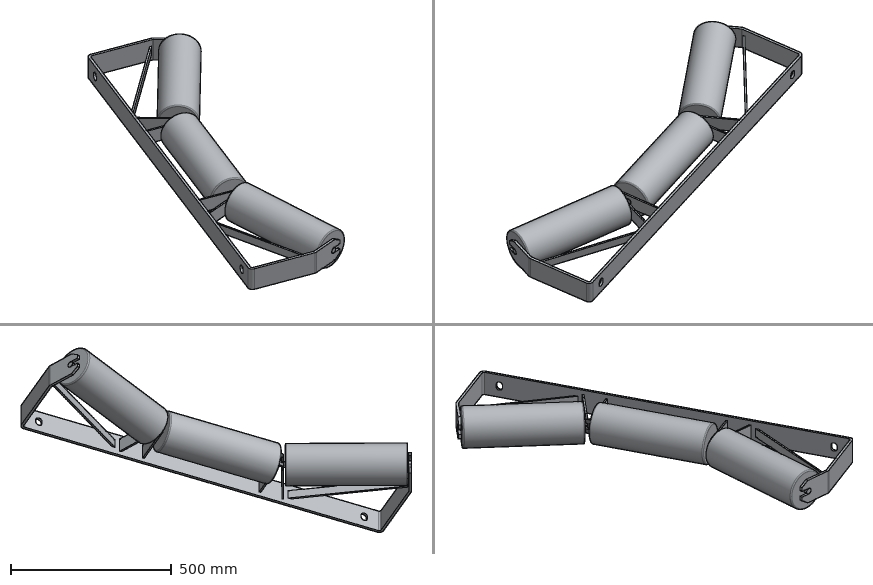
import cadquery as cq
import math


frame_half_length = 620.0
strip_width = 79.0
strip_thickness = 9.0
bend_radius = 15.0
bend_height = 225.0
arm_length = 115.0
arm_corner_cut = (25.0, 16.0)

mount_x = 557.0
mount_slot_length = 29.0
mount_slot_width = 21.0

trough_angle = 25.0
roller_diameter = 133.0
roller_length = 381.0
roller_edge_radius = 4.0
shaft_diameter = 19.0
slot_width = 20.0
middle_roller_center = (0.0, 125.0)
side_roller_center = (400.0, 217.0)

bracket_thickness = 5.6
bracket_width = 50.0
bracket_bend_radius = 7.0
bracket_top = 155.0
roller_to_bracket = 6.0

strut_thickness = 6.0
strut_width = 30.0
strut_angle = 33.6
strut_foot_x = 301.0

sin_trough = math.sin(math.radians(trough_angle))
cos_trough = math.cos(math.radians(trough_angle))
leg_offset = roller_length / 2 + roller_to_bracket
shaft_length = 2 * (leg_offset + bracket_thickness)


def extrude_across(outline, width):
    """Extrude a closed outline in XY evenly to both sides of Z = 0."""
    return outline.close().extrude(width).translate((0, 0, -width / 2))


def edge_at(x, y):
    """Selector for the edge that runs along Z through an XY point."""
    reach = 0.6
    return cq.selectors.BoxSelector((x - reach, y - reach, -reach), (x + reach, y + reach, reach))


def mirrored(body):
    """The same body on the -X side."""
    return body.mirror("YZ")


def place_on_side_axis(body):
    """Move a body from the X axis onto the axis of the +X side roller."""
    turned = body.rotate((0, 0, 0), (0, 0, 1), trough_angle)
    return turned.translate((*side_roller_center, 0))


def shaft_slot(start_x, length, height):
    """Round-bottomed cutter about the X axis that reaches a height upward (+Y)."""
    plane = cq.Workplane("YZ", origin=(start_x, 0, 0))
    bottom = plane.circle(slot_width / 2).extrude(length)
    channel = plane.rect(height, slot_width).extrude(length).translate((0, height / 2, 0))
    return bottom.union(channel)


def centered_cylinder(diameter, length):
    """Cylinder along X, centred on the origin."""
    return cq.Workplane("YZ", origin=(-length / 2, 0, 0)).circle(diameter / 2).extrude(length)


def make_roller():
    """Roller with its shaft, centred on the origin along X."""
    shell = centered_cylinder(roller_diameter, roller_length)
    shell = shell.edges("%CIRCLE").fillet(roller_edge_radius)
    shaft = centered_cylinder(shaft_diameter, shaft_length)
    return shell.union(shaft)


def make_frame():
    """Base, two walls and two inclined arms bent from one strip."""
    arm_run = arm_length * sin_trough
    arm_rise = arm_length * cos_trough
    half_bend = math.tan(math.radians(trough_angle / 2))
    inner_x = frame_half_length - strip_thickness
    inner_bend = bend_height - strip_thickness * half_bend
    tip_x = frame_half_length - arm_run
    tip_y = bend_height + arm_rise
    inner_tip = (tip_x - strip_thickness * cos_trough, tip_y - strip_thickness * sin_trough)

    right_side = [
        (frame_half_length, 0),
        (frame_half_length, bend_height),
        (tip_x, tip_y),
        inner_tip,
        (inner_x, inner_bend),
        (inner_x, strip_thickness),
    ]
    left_side = [(-x, y) for x, y in reversed(right_side)]
    frame = extrude_across(cq.Workplane("XY").polyline(right_side + left_side), strip_width)

    inner_radius = bend_radius - strip_thickness
    bends = [
        (frame_half_length, 0, bend_radius),
        (frame_half_length, bend_height, bend_radius),
        (inner_x, strip_thickness, inner_radius),
        (inner_x, inner_bend, inner_radius),
    ]
    for x, y, radius in bends:
        frame = frame.edges(edge_at(x, y) + edge_at(-x, y)).fillet(radius)

    arm_cutter = make_arm_cutter()
    frame = frame.cut(arm_cutter).cut(mirrored(arm_cutter))

    mounts = (
        cq.Workplane("XZ")
        .pushPoints([(-mount_x, 0), (mount_x, 0)])
        .slot2D(mount_slot_length, mount_slot_width, 90)
        .extrude(-strip_thickness)
    )
    return frame.cut(mounts)


def make_arm_cutter():
    """Corner cuts and shaft slot of the +X arm."""
    bend_x = frame_half_length - side_roller_center[0]
    bend_y = bend_height - side_roller_center[1]
    outer_face = bend_x * cos_trough + bend_y * sin_trough
    tip_rise = arm_length - bend_x * sin_trough + bend_y * cos_trough
    cut_along, cut_across = arm_corner_cut

    start = outer_face - 2 * strip_thickness
    depth = 3 * strip_thickness
    cutter = shaft_slot(start, depth, 2 * tip_rise)
    for side in (-1, 1):
        edge = side * strip_width / 2
        triangle = [
            (tip_rise, edge),
            (tip_rise - cut_along, edge),
            (tip_rise, edge - side * cut_across),
        ]
        corner = cq.Workplane("YZ", origin=(start, 0, 0)).polyline(triangle).close().extrude(depth)
        cutter = cutter.union(corner)
    return place_on_side_axis(cutter)


def make_bracket():
    """Folded +X bracket between the middle and side rollers."""
    slope_tan = sin_trough / cos_trough

    def leg_x(offset, y):
        """X of the sloping leg's face that lies an offset from the side roller's middle."""
        axis_x = side_roller_center[0] - offset * cos_trough
        axis_y = side_roller_center[1] - offset * sin_trough
        return axis_x + (axis_y - y) * slope_tan

    base = strip_thickness
    under = bracket_top - bracket_thickness
    near = leg_offset
    far = leg_offset + bracket_thickness
    points = [
        (near, base),
        (near, bracket_top),
        (leg_x(near, bracket_top), bracket_top),
        (leg_x(near, base), base),
        (leg_x(far, base), base),
        (leg_x(far, under), under),
        (far, under),
        (far, base),
    ]
    bracket = extrude_across(cq.Workplane("XY").polyline(points), bracket_width)
    for x, y in points[1:3]:
        bracket = bracket.edges(edge_at(x, y)).fillet(bracket_bend_radius)
    for x, y in points[5:7]:
        bracket = bracket.edges(edge_at(x, y)).fillet(bracket_bend_radius - bracket_thickness)

    upright_slot = shaft_slot(near, bracket_thickness, bracket_top)
    upright_slot = upright_slot.translate((*middle_roller_center, 0))
    leg_slot = place_on_side_axis(shaft_slot(-far, bracket_thickness, bracket_top))
    return bracket.cut(upright_slot).cut(leg_slot)


def make_strut():
    """Flat +X strut from the base to the wall."""
    angle = math.radians(strut_angle)
    half_foot = strut_thickness / 2 / math.sin(angle)
    wall_x = frame_half_length - strip_thickness

    def wall_y(foot_x):
        return strip_thickness + (wall_x - foot_x) * math.tan(angle)

    inner_foot = strut_foot_x - half_foot
    outer_foot = strut_foot_x + half_foot
    points = [
        (inner_foot, strip_thickness),
        (outer_foot, strip_thickness),
        (wall_x, wall_y(outer_foot)),
        (wall_x, wall_y(inner_foot)),
    ]
    return extrude_across(cq.Workplane("XY").polyline(points), strut_width)


frame = make_frame()
middle_roller = make_roller().translate((*middle_roller_center, 0))
side_roller = place_on_side_axis(make_roller())
bracket = make_bracket()
strut = make_strut()

paired_bodies = []
for right_body in (side_roller, bracket, strut):
    paired_bodies += [right_body.val(), mirrored(right_body).val()]

result = cq.Compound.makeCompound([frame.val(), middle_roller.val(), *paired_bodies])